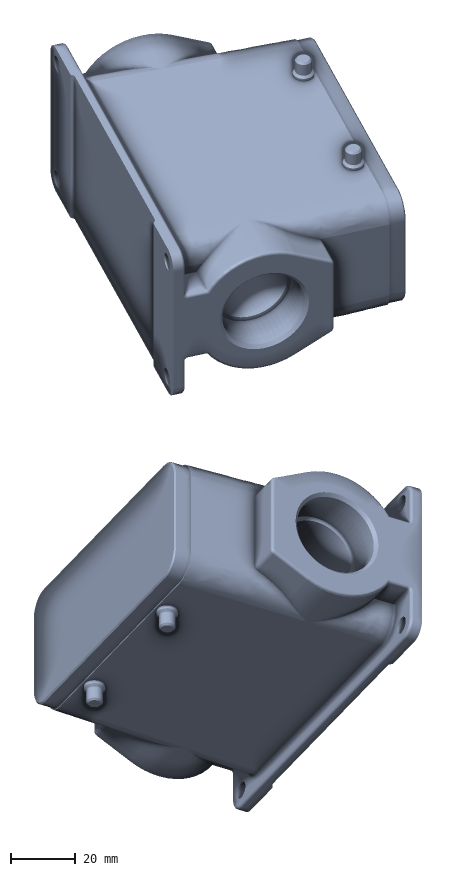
import cadquery as cq
import math

LENGTH = 117.0
DEPTH = 80.3
WIDTH = 56.0

FLANGE_THICK = 4.0
FLANGE_CORNER_R = 5.0
FLANGE_FOOT_R = 0.8
SCREW_DIA = 5.5
SCREW_SPACING_X = 105.0
SCREW_SPACING_Z = 45.0
RELIEF_DEPTH = 1.0
RELIEF_LENGTH = 78.9

BODY_TOP_Y = 74.8
BODY_BASE_HALF_X = 48.1
BODY_BASE_HALF_Z = 22.8
BODY_TAPER = 1.1
BODY_CORNER_R = 7.6

RIM_STEP = 0.5
RIM_CHAMFER = 0.5

BORE_Y = 29.8
BOSS_TOP_Y = 52.6
BOSS_TOP_HALF_Z = 13.6
BOSS_NECK_HALF_Z = 12.3
BOSS_CORNER_R = 1.8
BOSS_INNER_X = 40.1
BORE_DIA = 26.9
BORE_DEPTH = 13.5
BORE_CHAMFER = 1.0
THROUGH_DIA = 24.0

END_EDGE_R = 0.9

PIN_SPACING_X = 47.6
PIN_Y = 70.8
PIN_DIA = 5.1
PIN_TIP_CHAMFER = 0.6
PIN_SEAT_DEPTH = 0.6
COLLAR_DIA = 6.7
COLLAR_RISE = 1.0
COLLAR_CONE = 0.7

FLAT_TOLERANCE = 0.1

TAPER_SLOPE = math.tan(math.radians(BODY_TAPER))


def body_inset(y):
    """Distance the tapered side walls have moved in at height y above the flange."""
    return (y - FLANGE_THICK) * TAPER_SLOPE


def y_plane(y):
    """Workplane across the Y axis at height y, facing +Y."""
    return cq.Workplane(cq.Plane((0, y, 0), xDir=(1, 0, 0), normal=(0, 1, 0)))


def rounded_block(y, half_x, half_z, height, corner_r):
    """Straight block with rounded corners, rising from y along +Y."""
    return y_plane(y).rect(2 * half_x, 2 * half_z).extrude(height).edges("|Y").fillet(corner_r)


def make_flange():
    """Flat mounting plate with rounded corners."""
    return rounded_block(0, LENGTH / 2, WIDTH / 2, FLANGE_THICK, FLANGE_CORNER_R)


def body_outline(y):
    """Rounded rectangular outline of the tapered body at height y."""
    inset = body_inset(y)
    half_x = BODY_BASE_HALF_X - inset
    half_z = BODY_BASE_HALF_Z - inset
    outline = y_plane(y).rect(2 * half_x, 2 * half_z).wires().val()
    return outline.fillet2D(BODY_CORNER_R, outline.Vertices())


def make_body():
    """Tapered body with corners of constant radius."""
    wires = [body_outline(0), body_outline(BODY_TOP_Y)]
    return cq.Workplane(cq.Solid.makeLoft(wires, True))


def make_rim():
    """Straight rim set in slightly from the top of the body."""
    inset = body_inset(BODY_TOP_Y) + RIM_STEP
    rim = rounded_block(
        BODY_TOP_Y,
        BODY_BASE_HALF_X - inset,
        BODY_BASE_HALF_Z - inset,
        DEPTH - BODY_TOP_Y,
        BODY_CORNER_R - RIM_STEP,
    )
    return rim.faces(">Y").edges().chamfer(RIM_CHAMFER)


def make_boss():
    """Cable-entry boss on the -X end: a round barrel with a flat tapered end and a neck to the flange."""
    radius = BODY_BASE_HALF_Z - body_inset(BORE_Y)
    corner_dy = BOSS_TOP_Y - BORE_Y
    corner_distance = math.hypot(corner_dy, BOSS_TOP_HALF_Z)
    tangent_angle = math.atan2(BOSS_TOP_HALF_Z, corner_dy) + math.acos(radius / corner_distance)
    tangent_y = BORE_Y + radius * math.cos(tangent_angle)
    tangent_z = radius * math.sin(tangent_angle)
    neck_y = BORE_Y - math.sqrt(radius ** 2 - BOSS_NECK_HALF_Z ** 2)

    outline = (
        cq.Workplane("YZ", origin=(-LENGTH / 2, 0, 0))
        .moveTo(BOSS_TOP_Y, -BOSS_TOP_HALF_Z)
        .lineTo(BOSS_TOP_Y, BOSS_TOP_HALF_Z)
        .lineTo(tangent_y, tangent_z)
        .threePointArc((BORE_Y, radius), (neck_y, BOSS_NECK_HALF_Z))
        .lineTo(RELIEF_DEPTH, BOSS_NECK_HALF_Z)
        .lineTo(RELIEF_DEPTH, -BOSS_NECK_HALF_Z)
        .lineTo(neck_y, -BOSS_NECK_HALF_Z)
        .threePointArc((BORE_Y, -radius), (tangent_y, -tangent_z))
        .close()
    )
    boss = outline.extrude(LENGTH / 2 - BOSS_INNER_X)
    return boss.edges("|X and >Y").fillet(BOSS_CORNER_R)


def round_flange_foot(housing):
    """Fillet the inner corner where the body and the boss necks rise from the flange."""

    def is_foot_edge(edge):
        center = edge.Center()
        is_level = edge.BoundingBox().ylen < FLAT_TOLERANCE
        at_flange_top = abs(center.y - FLANGE_THICK) < FLAT_TOLERANCE
        inside_x = abs(center.x) < LENGTH / 2 - FLANGE_CORNER_R
        inside_z = abs(center.z) < WIDTH / 2 - FLANGE_CORNER_R
        return is_level and at_flange_top and inside_x and inside_z

    return housing.edges().filter(is_foot_edge).fillet(FLANGE_FOOT_R)


def round_end_edges(housing):
    """Round the outline of both end faces; the round carries on along the flange edge."""

    def is_above_flange(edge):
        return edge.Center().y > FLANGE_THICK - FLAT_TOLERANCE

    return housing.faces("<X or >X").edges().filter(is_above_flange).fillet(END_EDGE_R)


def cut_relief(housing):
    """Shallow relief with sloped ends across the underside of the flange."""
    half = RELIEF_LENGTH / 2
    relief = (
        cq.Workplane("XY")
        .moveTo(-half, 0)
        .lineTo(half, 0)
        .lineTo(half - RELIEF_DEPTH, RELIEF_DEPTH)
        .lineTo(RELIEF_DEPTH - half, RELIEF_DEPTH)
        .close()
        .extrude(WIDTH / 2, both=True)
    )
    return housing.cut(relief)


def cut_screw_holes(housing):
    """Four screw holes through the corners of the flange."""
    holes = (
        y_plane(0)
        .rect(SCREW_SPACING_X, SCREW_SPACING_Z, forConstruction=True)
        .vertices()
        .circle(SCREW_DIA / 2)
        .extrude(FLANGE_THICK)
    )
    return housing.cut(holes)


def cut_cable_bores(housing):
    """Passage through both ends, opened out to a chamfered bore in each boss."""
    half = LENGTH / 2
    step_x = half - BORE_DEPTH
    profile = (
        cq.Workplane("XY")
        .moveTo(-half, BORE_Y)
        .lineTo(-half, BORE_Y + BORE_DIA / 2 + BORE_CHAMFER)
        .lineTo(-half + BORE_CHAMFER, BORE_Y + BORE_DIA / 2)
        .lineTo(-step_x, BORE_Y + BORE_DIA / 2)
        .lineTo(-step_x, BORE_Y + THROUGH_DIA / 2)
        .lineTo(0, BORE_Y + THROUGH_DIA / 2)
        .lineTo(0, BORE_Y)
        .close()
    )
    bore = profile.revolve(360, (-half, BORE_Y, 0), (0, BORE_Y, 0))
    return housing.cut(bore).cut(bore.mirror("YZ"))


def make_pin():
    """Turned locking pin standing on the +Z wall: coned collar below a chamfered stem."""
    wall_z = BODY_BASE_HALF_Z - body_inset(PIN_Y)
    cone_z = wall_z + COLLAR_RISE
    profile = (
        cq.Workplane("XZ")
        .moveTo(0, wall_z - PIN_SEAT_DEPTH)
        .lineTo(COLLAR_DIA / 2, wall_z - PIN_SEAT_DEPTH)
        .lineTo(COLLAR_DIA / 2, cone_z)
        .lineTo(PIN_DIA / 2, cone_z + COLLAR_CONE)
        .lineTo(PIN_DIA / 2, WIDTH / 2 - PIN_TIP_CHAMFER)
        .lineTo(PIN_DIA / 2 - PIN_TIP_CHAMFER, WIDTH / 2)
        .lineTo(0, WIDTH / 2)
        .close()
    )
    return profile.revolve(360, (0, 0, 0), (0, 1, 0))


def place_pins():
    """Four separate pins, two on the +Z wall and two mirrored onto the -Z wall."""
    pins = []
    for x in (-PIN_SPACING_X / 2, PIN_SPACING_X / 2):
        upper_pin = make_pin().translate((x, PIN_Y, 0))
        pins.append(upper_pin)
        pins.append(upper_pin.mirror("XY"))
    return pins


def make_housing(pins):
    """Housing in one piece, with a seat cut for each pin."""
    boss = make_boss()
    housing = make_flange().union(make_body()).union(boss).union(boss.mirror("YZ"))
    housing = round_flange_foot(housing)
    housing = round_end_edges(housing)
    housing = housing.union(make_rim())
    housing = cut_relief(housing)
    housing = cut_screw_holes(housing)
    housing = cut_cable_bores(housing)
    for pin in pins:
        housing = housing.cut(pin)
    return housing


pins = place_pins()
housing = make_housing(pins)
result = cq.Compound.makeCompound([housing.solids().val(), *[pin.val() for pin in pins]])